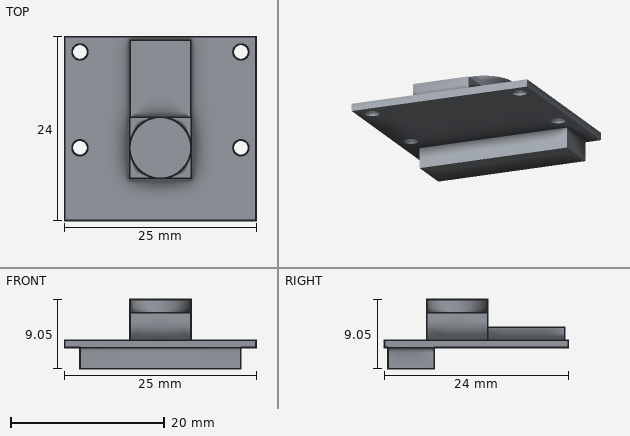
import cadquery as cq

board_width = 25.0
board_depth = 24.0
board_thickness = 1.0

hole_diameter = 2.0
hole_edge_inset = 2.0
hole_row_spacing = 12.5
hole_x = board_width / 2 - hole_edge_inset
rear_hole_y = board_depth / 2 - hole_edge_inset
front_hole_y = rear_hole_y - hole_row_spacing

housing_side = 8.0
housing_height = 3.55
lens_diameter = housing_side
lens_height = 1.75
camera_y = front_hole_y

flex_width = 7.9
flex_height = 1.7
edge_gap = 0.45
flex_rear_y = board_depth / 2 - edge_gap
flex_front_y = camera_y + housing_side / 2
flex_length = flex_rear_y - flex_front_y

connector_width = 21.0
connector_depth = 6.05
connector_height = 2.75
connector_y = -board_depth / 2 + edge_gap + connector_depth / 2


def block(width, depth, height, center_y, base_z):
    """Box centred in X, standing on base_z."""
    return (
        cq.Workplane("XY")
        .box(width, depth, height, centered=(True, True, False))
        .translate((0, center_y, base_z))
    )


def make_board():
    hole_centers = [(x, y) for x in (-hole_x, hole_x) for y in (front_hole_y, rear_hole_y)]
    return (
        block(board_width, board_depth, board_thickness, 0, 0)
        .faces(">Z")
        .workplane(origin=(0, 0, board_thickness))
        .pushPoints(hole_centers)
        .hole(hole_diameter)
    )


def make_lens():
    return (
        cq.Workplane("XY", origin=(0, camera_y, board_thickness + housing_height))
        .circle(lens_diameter / 2)
        .extrude(lens_height)
    )


housing = block(housing_side, housing_side, housing_height, camera_y, board_thickness)
flex_center_y = (flex_front_y + flex_rear_y) / 2
flex = block(flex_width, flex_length, flex_height, flex_center_y, board_thickness)
connector = block(connector_width, connector_depth, connector_height, connector_y, -connector_height)

result = make_board().union(housing).union(make_lens()).union(flex).union(connector)